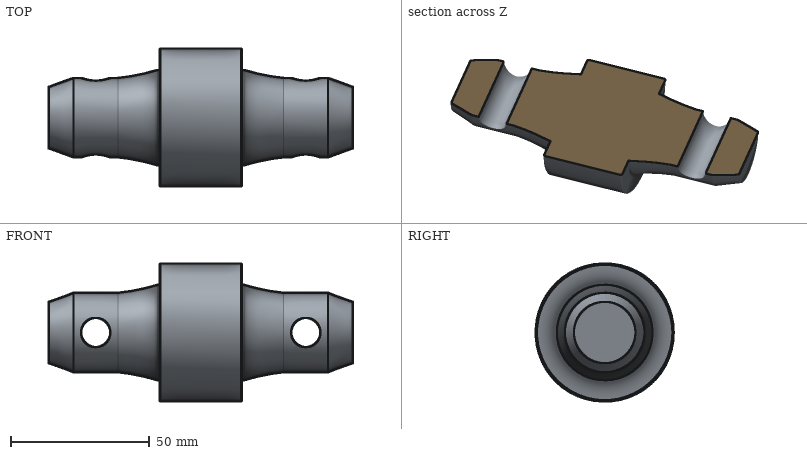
import cadquery as cq

total_length = 110.0
collar_diameter = 50.0
collar_width = 30.0
collar_chamfer = 0.5

pin_diameter = 28.8
tip_diameter = 22.25
tip_taper_length = 9.0
straight_length = 16.0

root_diameter = 34.6
neck_width = 0.6
flare_radius = 75.0

hole_diameter = 10.5

half_length = total_length / 2
half_collar = collar_width / 2
tip_taper_start = half_length - tip_taper_length
flare_start = tip_taper_start - straight_length
flare_end = half_collar + neck_width
hole_position = (tip_taper_start + flare_start) / 2


def make_collar():
    """Chamfered disc centred on the origin."""
    disc = cq.Workplane("YZ", origin=(-half_collar, 0, 0)).circle(collar_diameter / 2).extrude(collar_width)
    return disc.faces("<X or >X").chamfer(collar_chamfer)


def make_pin():
    """Pin on the +X side, reaching back to the middle of the collar."""
    profile = (
        cq.Workplane("XY")
        .moveTo(0, 0)
        .lineTo(half_length, 0)
        .lineTo(half_length, -tip_diameter / 2)
        .lineTo(tip_taper_start, -pin_diameter / 2)
        .lineTo(flare_start, -pin_diameter / 2)
        .radiusArc((flare_end, -root_diameter / 2), -flare_radius)
        .lineTo(0, -root_diameter / 2)
        .close()
    )
    return profile.revolve(360, (0, 0, 0), (1, 0, 0))


def make_cross_hole(x):
    """Round cutter along Y, longer than the pin is thick."""
    return cq.Workplane("XZ").center(x, 0).circle(hole_diameter / 2).extrude(pin_diameter, both=True)


right_pin = make_pin()
left_pin = right_pin.mirror("YZ")
result = make_collar().union(right_pin).union(left_pin)
for hole_x in (-hole_position, hole_position):
    result = result.cut(make_cross_hole(hole_x))